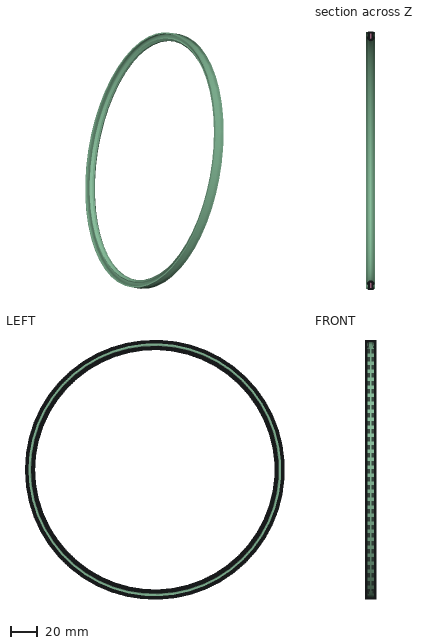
import cadquery as cq

width = 7.0
outer_radius = 96.0
rim_thickness = 1.0

inner_radius = 90.0
groove_depth = 2.0
groove_fillet = 0.4
lip_height = 0.8
lip_tip_radius = 91.5

rim_inner_radius = outer_radius - rim_thickness
lip_root_radius = lip_tip_radius + lip_height

rim_half_width = width / 2
floor_half_width = rim_half_width - groove_depth
lip_half_width = floor_half_width + lip_height
bore_half_width = lip_half_width - (lip_tip_radius - inner_radius)


def ring_body():
    """Revolved ring; in the section, Y is the distance from the ring axis."""
    plus_side = [
        (rim_half_width, outer_radius),
        (rim_half_width, rim_inner_radius),
        (floor_half_width, rim_inner_radius),
        (floor_half_width, lip_root_radius),
        (lip_half_width, lip_tip_radius),
        (bore_half_width, inner_radius),
    ]
    minus_side = [(-x, radius) for x, radius in reversed(plus_side)]
    section = cq.Workplane("XY").polyline(plus_side + minus_side).close()
    return section.revolve(360, (0, 0, 0), (1, 0, 0))


def round_groove_corners(ring):
    """Fillet both edges of the groove floor on each side of the flange."""
    flange_zone = cq.selectors.BoxSelector(
        (-lip_half_width, -outer_radius, -outer_radius),
        (lip_half_width, outer_radius, outer_radius),
    )
    groove_floors = ring.faces("|X").faces(flange_zone)
    return groove_floors.edges("%CIRCLE").fillet(groove_fillet)


result = round_groove_corners(ring_body())